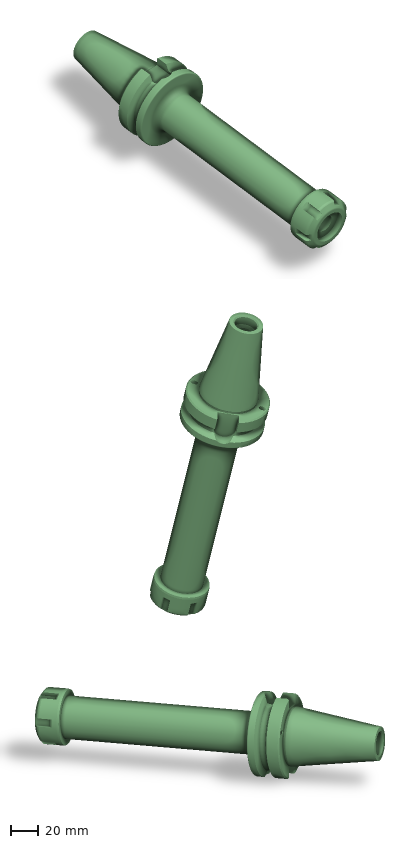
import cadquery as cq
import math


overall_length = 260.5
shank_diameter = 32.0

gauge_diameter = 44.45
taper_length = 65.4
neck_diameter = 44.0
neck_step_length = 0.8
small_end_diameter = gauge_diameter - taper_length * 7 / 24

flange_diameter = 63.0
flange_front = taper_length + 2.0
flange_back = taper_length + 27.0
flange_edge = 1.0
shank_fillet = 5.0

groove_center = taper_length + 16.55
groove_floor_diameter = 53.0
groove_floor_width = 4.6
groove_wall_angle = 27.0
groove_depth = (flange_diameter - groove_floor_diameter) / 2
groove_top_width = groove_floor_width + 2 * groove_depth * math.tan(math.radians(groove_wall_angle))

keyway_width = 16.1
keyway_floor = 22.5
keyway_end = taper_length + 23.1

coolant_hole_diameter = 3.0
coolant_seat_diameter = 4.2
coolant_seat_depth = 2.0
coolant_tilt = 45.0
coolant_pitch_radius = 27.0
coolant_angle = 20.0

bore_diameter = 13.4
mouth_diameter = 17.0
mouth_depth = 7.5
mouth_chamfer = 1.0
lead_diameter = 16.0
lead_length = 2.0

nut_diameter = 42.0
nut_length = 20.0
nut_start = overall_length - nut_length
nut_back_bevel_length = 1.6
nut_back_bevel_height = 0.3
nose_length = 3.6
nose_height = 5.0
nose_fillet = 2.1
nut_lip = 5.0
nut_opening_diameter = 25.0
shank_end = overall_length - nut_lip

slot_count = 6
upper_slot_count = 2
slot_pitch = 360 / slot_count
slot_width = 6.2
slot_floor = 17.3
slot_start = nut_start + 3.8
late_slot_start = slot_start + 1.6
slot_end_run = 3.2
slot_clearance = 1.0


def holder_blank():
    """Taper, neck, flange with its groove, and shank, turned about X."""
    flange_radius = flange_diameter / 2
    shank_radius = shank_diameter / 2
    fillet_end = flange_back + shank_fillet
    round_middle = flange_edge * (1 - math.sqrt(0.5))
    fillet_middle = shank_fillet * (1 - math.sqrt(0.5))
    return (
        cq.Workplane("XY")
        .moveTo(0, 0)
        .lineTo(0, small_end_diameter / 2)
        .lineTo(taper_length, gauge_diameter / 2)
        .lineTo(taper_length + neck_step_length, neck_diameter / 2)
        .lineTo(flange_front, neck_diameter / 2)
        .lineTo(flange_front, flange_radius - flange_edge)
        .lineTo(flange_front + flange_edge, flange_radius)
        .lineTo(groove_center - groove_top_width / 2, flange_radius)
        .lineTo(groove_center - groove_floor_width / 2, groove_floor_diameter / 2)
        .lineTo(groove_center + groove_floor_width / 2, groove_floor_diameter / 2)
        .lineTo(groove_center + groove_top_width / 2, flange_radius)
        .lineTo(flange_back - flange_edge, flange_radius)
        .threePointArc(
            (flange_back - round_middle, flange_radius - round_middle),
            (flange_back, flange_radius - flange_edge),
        )
        .lineTo(flange_back, shank_radius + shank_fillet)
        .threePointArc(
            (flange_back + fillet_middle, shank_radius + fillet_middle),
            (fillet_end, shank_radius),
        )
        .lineTo(shank_end, shank_radius)
        .lineTo(shank_end, 0)
        .close()
        .revolve(360, (0, 0, 0), (1, 0, 0))
    )


def drive_keyway():
    """Round-ended keyway cutter above the axis, open toward the taper."""
    height = flange_diameter / 2 - keyway_floor
    end_center = keyway_end - keyway_width / 2
    straight = (
        cq.Workplane("XY", origin=(0, 0, keyway_floor))
        .moveTo((taper_length + end_center) / 2, 0)
        .rect(end_center - taper_length, keyway_width)
        .extrude(height)
    )
    round_end = (
        cq.Workplane("XY", origin=(end_center, 0, keyway_floor))
        .circle(keyway_width / 2)
        .extrude(height)
    )
    return straight.union(round_end)


def coolant_hole():
    """Slanted, stepped cutter from the flange's front face in to the bore, on the +Y side."""
    tilt = math.radians(coolant_tilt)
    drill_axis = cq.Vector(math.cos(tilt), -math.sin(tilt), 0)
    mouth = cq.Vector(flange_front, coolant_pitch_radius, 0)
    start = mouth - drill_axis * coolant_seat_diameter
    drill_length = coolant_seat_diameter + coolant_pitch_radius / math.sin(tilt)
    seat_length = coolant_seat_diameter + coolant_seat_depth
    drill = cq.Solid.makeCylinder(coolant_hole_diameter / 2, drill_length, start, drill_axis)
    seat = cq.Solid.makeCylinder(coolant_seat_diameter / 2, seat_length, start, drill_axis)
    return cq.Workplane(drill).union(cq.Workplane(seat))


def holder_bore():
    """Through bore with a wider, chamfered mouth at the small end of the taper."""
    mouth_radius = mouth_diameter / 2
    return (
        cq.Workplane("XY")
        .moveTo(0, 0)
        .lineTo(0, mouth_radius + mouth_chamfer)
        .lineTo(mouth_chamfer, mouth_radius)
        .lineTo(mouth_depth, mouth_radius)
        .lineTo(mouth_depth, lead_diameter / 2)
        .lineTo(mouth_depth + lead_length, bore_diameter / 2)
        .lineTo(shank_end, bore_diameter / 2)
        .lineTo(shank_end, 0)
        .close()
        .revolve(360, (0, 0, 0), (1, 0, 0))
    )


def make_holder():
    """Tool holder with its bore, two keyways and two coolant holes."""
    keyway = drive_keyway()
    hole = coolant_hole()
    holder = holder_blank().cut(holder_bore())
    for half_turn in (0, 180):
        holder = holder.cut(keyway.rotate((0, 0, 0), (1, 0, 0), half_turn))
        holder = holder.cut(hole.rotate((0, 0, 0), (1, 0, 0), half_turn + coolant_angle))
    return holder


def nut_blank():
    """Nut body with a rounded conical nose, without its inside."""
    nut_radius = nut_diameter / 2
    body = (
        cq.Workplane("XY")
        .moveTo(nut_start, 0)
        .lineTo(nut_start, nut_radius - nut_back_bevel_height)
        .lineTo(nut_start + nut_back_bevel_length, nut_radius)
        .lineTo(overall_length - nose_length, nut_radius)
        .lineTo(overall_length, nut_radius - nose_height)
        .lineTo(overall_length, 0)
        .close()
        .revolve(360, (0, 0, 0), (1, 0, 0))
    )
    nose_edges = body.faces("%CONE").faces(">X").edges("%CIRCLE")
    return nose_edges.fillet(nose_fillet)


def spanner_slot(start):
    """Slot cutter on the +Z side with a sloping end, open at the nose."""
    slot_top = nut_diameter / 2 + slot_clearance
    end_slope = slot_end_run / (nut_diameter / 2 - slot_floor)
    floor_start = start + slot_end_run
    return (
        cq.Workplane("XZ", origin=(0, slot_width / 2, 0))
        .moveTo(floor_start, slot_floor)
        .lineTo(overall_length, slot_floor)
        .lineTo(overall_length, slot_top)
        .lineTo(floor_start - end_slope * (slot_top - slot_floor), slot_top)
        .close()
        .extrude(slot_width)
    )


def make_nut():
    """Clamping nut; its two slots nearest +Z reach further back than the others."""
    shank_recess = (
        cq.Workplane("YZ", origin=(nut_start, 0, 0))
        .circle(shank_diameter / 2)
        .extrude(shank_end - nut_start)
    )
    opening = (
        cq.Workplane("YZ", origin=(shank_end, 0, 0))
        .circle(nut_opening_diameter / 2)
        .extrude(nut_lip)
    )
    nut = nut_blank().cut(shank_recess).cut(opening)
    for index in range(slot_count):
        angle = (index - 0.5) * slot_pitch
        slot = spanner_slot(slot_start if index < upper_slot_count else late_slot_start)
        nut = nut.cut(slot.rotate((0, 0, 0), (1, 0, 0), angle))
    return nut


holder = make_holder()
nut = make_nut()
result = cq.Compound.makeCompound([holder.val(), nut.val()])